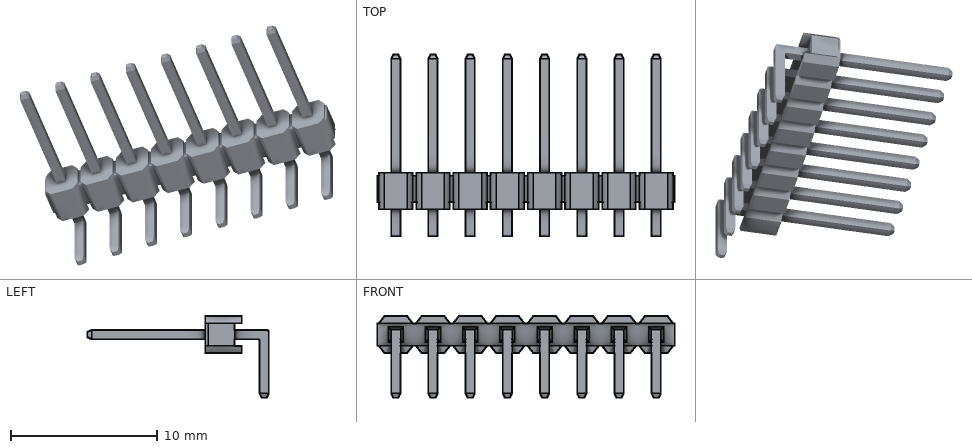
import cadquery as cq

PIN_COUNT = 8
ROW_LENGTH = 20.32
PITCH = ROW_LENGTH / PIN_COUNT
PIN_POSITIONS = [(index - (PIN_COUNT - 1) / 2) * PITCH for index in range(PIN_COUNT)]

BLOCK_HEIGHT = PITCH
BLOCK_DEPTH = 2.5
BLOCK_WIDTH = 2.32
BLOCK_TOP_WIDTH = 1.55
BAR_HEIGHT = 1.55
BAR_REAR_SETBACK = 0.2
BAR_FRONT_SETBACK = 0.49

MOUTH_WIDTH = 1.04
MOUTH_DEPTH = 0.2

PIN_WIDTH = 0.65
PIN_REACH = 12.42
REAR_LENGTH = 8.07
OVERALL_HEIGHT = 5.59
BEND_OUTER_RADIUS = 0.16
BEND_INNER_RADIUS = 0.08
TIP_LENGTH = 0.3
TIP_END_WIDTH = 0.35

BAR_REAR = -BAR_REAR_SETBACK
BAR_FRONT = -BLOCK_DEPTH + BAR_FRONT_SETBACK
PIN_FRONT = REAR_LENGTH - PIN_REACH
SHANK_REAR = REAR_LENGTH - TIP_LENGTH
LEG_END = BLOCK_HEIGHT / 2 - OVERALL_HEIGHT + TIP_LENGTH


def centred_box(width, height, y_front, y_rear):
    """Box centred on X = 0 and Z = 0 between two Y positions."""
    return cq.Workplane("XY").box(width, y_rear - y_front, height).translate((0, (y_front + y_rear) / 2, 0))


def make_block():
    """Eight-sided block, cut back at the front between its upper and lower bevelled flanges."""
    half_width = BLOCK_WIDTH / 2
    half_top = BLOCK_TOP_WIDTH / 2
    half_bar = BAR_HEIGHT / 2
    half_height = BLOCK_HEIGHT / 2
    outline = [
        (-half_top, -half_height),
        (half_top, -half_height),
        (half_width, -half_bar),
        (half_width, half_bar),
        (half_top, half_height),
        (-half_top, half_height),
        (-half_width, half_bar),
        (-half_width, -half_bar),
    ]
    block = cq.Workplane("XZ").polyline(outline).close().extrude(BLOCK_DEPTH)
    return block.cut(centred_box(PITCH, BAR_HEIGHT, -BLOCK_DEPTH, BAR_FRONT))


def make_pin_hole():
    """Square through hole that widens to a funnel at the front of the bar."""
    bore = centred_box(PIN_WIDTH, PIN_WIDTH, BAR_FRONT, 0)
    mouth = (
        cq.Workplane("XZ", origin=(0, BAR_FRONT + MOUTH_DEPTH, 0))
        .rect(PIN_WIDTH, PIN_WIDTH)
        .workplane(offset=MOUTH_DEPTH)
        .rect(MOUTH_WIDTH, MOUTH_WIDTH)
        .loft(ruled=True)
    )
    return bore.union(mouth)


def make_housing():
    """One bar that joins all the blocks, with a hole for each pin."""
    housing = centred_box(ROW_LENGTH, BAR_HEIGHT, BAR_FRONT, BAR_REAR)
    block = make_block()
    pin_hole = make_pin_hole()
    for x in PIN_POSITIONS:
        housing = housing.union(block.translate((x, 0, 0)))
    for x in PIN_POSITIONS:
        housing = housing.cut(pin_hole.translate((x, 0, 0)))
    return housing


def make_tip():
    """Square taper that starts at the origin and points down."""
    return (
        cq.Workplane("XY")
        .rect(PIN_WIDTH, PIN_WIDTH)
        .workplane(offset=-TIP_LENGTH)
        .rect(TIP_END_WIDTH, TIP_END_WIDTH)
        .loft(ruled=True)
    )


def make_pin():
    """Right-angle square pin with a tapered tip at each end."""
    half = PIN_WIDTH / 2
    outline = [
        (SHANK_REAR, half),
        (PIN_FRONT, half),
        (PIN_FRONT, LEG_END),
        (PIN_FRONT + PIN_WIDTH, LEG_END),
        (PIN_FRONT + PIN_WIDTH, -half),
        (SHANK_REAR, -half),
    ]
    pin = cq.Workplane("YZ").polyline(outline).close().extrude(half, both=True)
    outer_corner = cq.selectors.NearestToPointSelector((0, PIN_FRONT, half))
    inner_corner = cq.selectors.NearestToPointSelector((0, PIN_FRONT + PIN_WIDTH, -half))
    pin = pin.edges(outer_corner).fillet(BEND_OUTER_RADIUS)
    pin = pin.edges(inner_corner).fillet(BEND_INNER_RADIUS)
    rear_tip = make_tip().rotate((0, 0, 0), (1, 0, 0), 90).translate((0, SHANK_REAR, 0))
    lower_tip = make_tip().translate((0, PIN_FRONT + half, LEG_END))
    return pin.union(rear_tip).union(lower_tip)


housing = make_housing()
pin = make_pin()
pins = [pin.translate((x, 0, 0)).val() for x in PIN_POSITIONS]

result = cq.Compound.makeCompound([housing.val(), *pins])